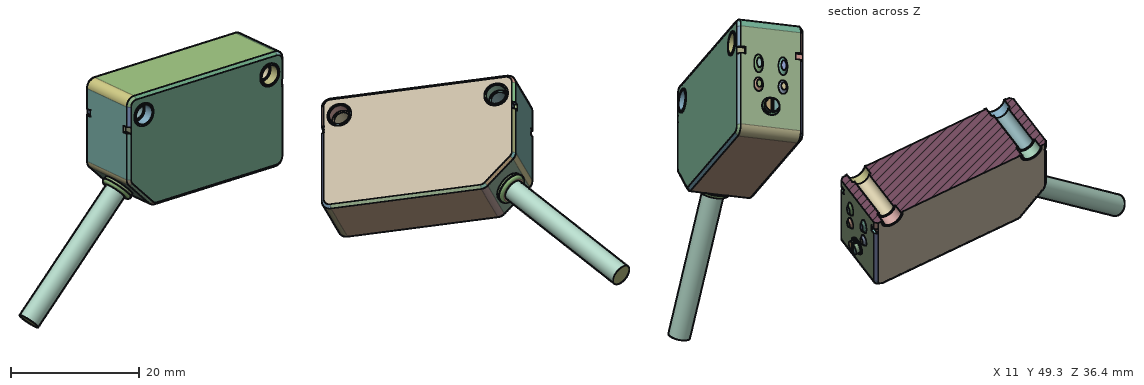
import cadquery as cq
import math


body_width = 10.8
body_length = 31.45
body_height = 19.45
corner_cut = 5.0
corner_radius = 1.5
edge_chamfer = 0.5

hole_spacing = 25.4
hole_drop = 3.4
hole_diameter = 2.6
counterbore_diameter = 3.25
counterbore_depth = 1.8
ring_diameter = 3.85
ring_height = 0.1

notch_top_drop = 4.95
notch_height = 1.1
notch_width = 1.3
notch_depth = 0.5

cable_diameter = 3.5
cable_length = 25.77
neck_diameter = 5.0
neck_length = 0.5
flange_diameter = 5.2
flange_thickness = 0.6
flange_round = 0.5

first_row_drop = 7.5
row_pitch = 3.5
pad_offset = 2.0
pad_width = 1.5
upper_pad_length = 3.0
lower_pad_length = 2.3
pad_height = 0.45
pad_top_ratio = 0.55
dial_base_diameter = 2.9
dial_base_height = 0.15
dial_diameter = 2.25
dial_height = 0.9
dial_slot_width = 0.35

cable_anchor = cq.Vector(0, corner_cut / 2 - body_length, corner_cut / 2 - body_height)
cable_direction = cq.Vector(0, -math.sqrt(0.5), -math.sqrt(0.5))
hole_centers = [
    (-body_length / 2 + side * hole_spacing / 2, -hole_drop)
    for side in (-1, 1)
]


def make_housing():
    """Side outline with one cut corner, rounded corners and chamfered side edges."""
    outline = [
        (0, 0),
        (0, -body_height),
        (corner_cut - body_length, -body_height),
        (-body_length, corner_cut - body_height),
        (-body_length, 0),
    ]
    block = cq.Workplane("YZ").polyline(outline).close().extrude(body_width / 2, both=True)
    block = block.edges("|X").fillet(corner_radius)
    return block.faces("<X or >X").chamfer(edge_chamfer)


def make_bores(diameter, length):
    """Cylinders on the mounting-hole axes, centred on the housing width."""
    return cq.Workplane("YZ").pushPoints(hole_centers).circle(diameter / 2).extrude(length / 2, both=True)


def cut_mounting_holes(solid):
    total_width = body_width + 2 * ring_height
    solid = solid.union(make_bores(ring_diameter, total_width))
    wide_bores = make_bores(counterbore_diameter, total_width)
    middle_web = make_bores(counterbore_diameter, total_width - 2 * counterbore_depth)
    return solid.cut(wide_bores.cut(middle_web)).cut(make_bores(hole_diameter, total_width))


def cut_edge_notches(solid):
    notch = cq.Workplane("XY").box(2 * notch_width, 2 * notch_depth, notch_height)
    z = -notch_top_drop - notch_height / 2
    for x in (-body_width / 2, body_width / 2):
        for y in (-body_length, 0):
            solid = solid.cut(notch.translate((x, y, z)))
    return solid


def make_cable_cylinder(diameter, start, end):
    """Cylinder on the cable axis between two distances from the cut corner face."""
    base = cable_anchor + cable_direction * start
    plane = cq.Plane(origin=base, xDir=(1, 0, 0), normal=cable_direction)
    return cq.Workplane(plane).circle(diameter / 2).extrude(end - start)


def make_cable():
    collar_end = neck_length + flange_thickness
    root = -edge_chamfer
    flange = make_cable_cylinder(flange_diameter, neck_length, collar_end)
    outer_end = cq.selectors.DirectionMinMaxSelector(cable_direction, True)
    flange = flange.faces(outer_end).edges().fillet(flange_round)
    neck = make_cable_cylinder(neck_diameter, root, collar_end - flange_round)
    cable = make_cable_cylinder(cable_diameter, root, cable_length)
    return cable.union(neck).union(flange)


def back_face_at(drop):
    """Workplane on the back face, facing outward, at a distance below the top."""
    return cq.Workplane(cq.Plane(origin=(0, 0, -drop), xDir=(-1, 0, 0), normal=(0, 1, 0)))


def make_pads(drop, length):
    """Pair of elliptical pads, narrowing outward, standing upright beside the centre line."""
    pads = cq.Workplane("XY")
    for x in (-pad_offset, pad_offset):
        base = back_face_at(drop).center(x, 0).ellipse(pad_width / 2, length / 2)
        top = base.workplane(offset=pad_height).ellipse(
            pad_top_ratio * pad_width / 2, pad_top_ratio * length / 2
        )
        pads = pads.union(top.loft(ruled=True))
    return pads


def make_dial(drop):
    face = back_face_at(drop)
    base = face.circle(dial_base_diameter / 2).extrude(dial_base_height)
    knob = face.circle(dial_diameter / 2).extrude(dial_height)
    slot = face.workplane(offset=dial_base_height).rect(dial_slot_width, dial_diameter).extrude(dial_height)
    return base.union(knob.cut(slot))


result = cut_edge_notches(cut_mounting_holes(make_housing()))
result = result.union(make_cable())
result = result.union(make_pads(first_row_drop, upper_pad_length))
result = result.union(make_pads(first_row_drop + row_pitch, lower_pad_length))
result = result.union(make_dial(first_row_drop + 2 * row_pitch))